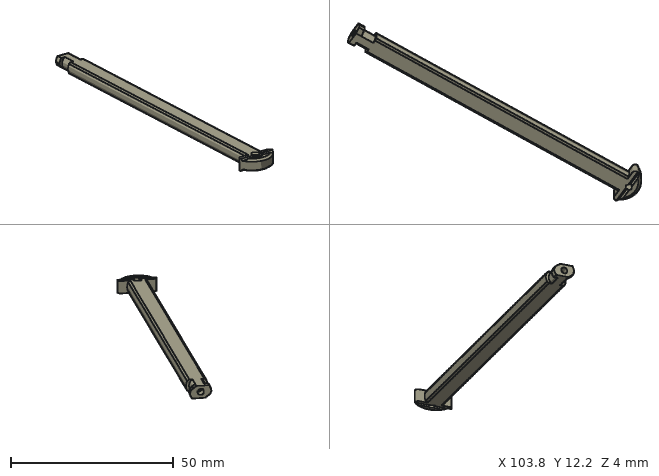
import cadquery as cq
import math

LENGTH = 103.8
THICKNESS = 4.0
HEAD_WIDTH = 12.2
HALF_THICKNESS = THICKNESS / 2

SHAFT_DIAMETER = 6.7
SHAFT_FLAT_WIDTH = 4.7
SHAFT_SIDE_HEIGHT = 3.1

CAP_LENGTH = 2.0
NECK_END = 6.3
NECK_DIAMETER = 4.9
CAP_CORNER_Y = 3.0
CAP_CORNER_Z = 0.8
CAP_CUT_START_Z = 0.2
END_HOLE_DIAMETER = 2.0
END_HOLE_DEPTH = 3.1
DRILL_POINT_ANGLE = 118

HEAD_LENGTH = 5.3
HEAD_CORNER_RADIUS = 1.0
HEAD_BEVEL_WIDTH = 0.9
HEAD_BEVEL_HEIGHT = 0.6
GROOVE_FROM_TIP = 3.3
GROOVE_WIDTH = 1.2
GROOVE_DEPTH = 0.6

CORD_HOLE_DIAMETER = 2.0
CORD_RIM_DIAMETER = 2.5
RECESS_DIAMETER = 2.7
RECESS_FLOOR_DIAMETER = 1.5
RECESS_DEPTH = 0.6
RECESS_OFFSET = 1.2

HEAD_BACK = LENGTH - HEAD_LENGTH
GROOVE_X = LENGTH - GROOVE_FROM_TIP


def circle_half_width(radius, height):
    """Half the chord of a circle at a height above its centre."""
    return math.sqrt(radius**2 - height**2)


def flatted_rod(diameter, start, end):
    """Rod along X with flats at the full thickness of the part."""
    radius = diameter / 2
    flat = circle_half_width(radius, HALF_THICKNESS)
    return (
        cq.Workplane("YZ", origin=(start, 0, 0))
        .moveTo(-flat, HALF_THICKNESS)
        .lineTo(flat, HALF_THICKNESS)
        .threePointArc((radius, 0), (flat, -HALF_THICKNESS))
        .lineTo(-flat, -HALF_THICKNESS)
        .threePointArc((-radius, 0), (-flat, HALF_THICKNESS))
        .close()
        .extrude(end - start)
    )


def make_shaft():
    """Main shaft, running a little way into the head."""
    radius = SHAFT_DIAMETER / 2
    flat = SHAFT_FLAT_WIDTH / 2
    side_z = SHAFT_SIDE_HEIGHT / 2
    side_y = circle_half_width(radius, side_z)
    return (
        cq.Workplane("YZ", origin=(NECK_END, 0, 0))
        .moveTo(-flat, HALF_THICKNESS)
        .lineTo(flat, HALF_THICKNESS)
        .lineTo(side_y, side_z)
        .threePointArc((radius, 0), (side_y, -side_z))
        .lineTo(flat, -HALF_THICKNESS)
        .lineTo(-flat, -HALF_THICKNESS)
        .lineTo(-side_y, -side_z)
        .threePointArc((-radius, 0), (-side_y, side_z))
        .close()
        .extrude(HEAD_BACK + HEAD_CORNER_RADIUS - NECK_END)
    )


def make_cap():
    """End cap whose +Y+Z and -Y-Z corners are cut back to the neck."""
    radius = SHAFT_DIAMETER / 2
    wide_flat = circle_half_width(radius, HALF_THICKNESS)
    cut_flat = circle_half_width(NECK_DIAMETER / 2, HALF_THICKNESS)
    cut_start_y = circle_half_width(radius, CAP_CUT_START_Z)
    mid_z = (HALF_THICKNESS - CAP_CUT_START_Z) / 2
    mid_y = circle_half_width(radius, mid_z)
    return (
        cq.Workplane("YZ")
        .moveTo(-wide_flat, HALF_THICKNESS)
        .lineTo(cut_flat, HALF_THICKNESS)
        .lineTo(CAP_CORNER_Y, CAP_CORNER_Z)
        .lineTo(cut_start_y, -CAP_CUT_START_Z)
        .threePointArc((mid_y, -mid_z), (wide_flat, -HALF_THICKNESS))
        .lineTo(-cut_flat, -HALF_THICKNESS)
        .lineTo(-CAP_CORNER_Y, -CAP_CORNER_Z)
        .lineTo(-cut_start_y, CAP_CUT_START_Z)
        .threePointArc((-mid_y, mid_z), (-wide_flat, HALF_THICKNESS))
        .close()
        .extrude(CAP_LENGTH)
    )


def make_head():
    """D-shaped plate with rounded corners, a bevelled arc and V grooves."""
    corner = HEAD_CORNER_RADIUS
    corner_y = HEAD_WIDTH / 2 - corner
    corner_run = HEAD_LENGTH - corner
    radius = (corner_run**2 + corner_y**2 - corner**2) / (2 * (corner_run - corner))
    arc_x = LENGTH - radius

    disc = (
        cq.Workplane("XY", origin=(arc_x, 0, -HALF_THICKNESS))
        .circle(radius)
        .extrude(THICKNESS)
    )
    bevelled_disc = disc.faces("|Z").edges().chamfer(HEAD_BEVEL_HEIGHT, HEAD_BEVEL_WIDTH)

    back_y = circle_half_width(radius, HEAD_BACK - arc_x)
    plate = (
        cq.Workplane("XY", origin=(0, 0, -HALF_THICKNESS))
        .moveTo(HEAD_BACK, -back_y)
        .threePointArc((LENGTH, 0), (HEAD_BACK, back_y))
        .close()
        .extrude(THICKNESS)
        .edges("|Z")
        .fillet(corner)
    )

    front = cq.Workplane("XY").box(
        HEAD_LENGTH, 2 * radius, THICKNESS, centered=(False, True, True)
    ).translate((GROOVE_X, 0, 0))
    head = plate.cut(front.cut(bevelled_disc))

    for side in (1, -1):
        surface = side * HALF_THICKNESS
        groove = (
            cq.Workplane("XZ")
            .moveTo(GROOVE_X - GROOVE_WIDTH / 2, surface)
            .lineTo(GROOVE_X + GROOVE_WIDTH / 2, surface)
            .lineTo(GROOVE_X, surface - side * GROOVE_DEPTH)
            .close()
            .extrude(HEAD_WIDTH / 2, both=True)
        )
        head = head.cut(groove)
    return head


def end_hole():
    """Blind drilled hole on the axis of the bayonet end."""
    radius = END_HOLE_DIAMETER / 2
    point = radius / math.tan(math.radians(DRILL_POINT_ANGLE / 2))
    return (
        cq.Workplane("XY")
        .lineTo(0, radius)
        .lineTo(END_HOLE_DEPTH, radius)
        .lineTo(END_HOLE_DEPTH + point, 0)
        .close()
        .revolve(360, (0, 0, 0), (1, 0, 0))
    )


def cord_hole():
    """Through hole with a bevelled upper rim and the recess behind it."""
    hole_radius = CORD_HOLE_DIAMETER / 2
    rim = (CORD_RIM_DIAMETER - CORD_HOLE_DIAMETER) / 2
    hole = (
        cq.Workplane("XY", origin=(GROOVE_X, 0, -HALF_THICKNESS))
        .circle(hole_radius)
        .extrude(THICKNESS)
    )
    rim_cone = cq.Workplane(
        cq.Solid.makeCone(
            hole_radius, hole_radius + rim, rim, cq.Vector(GROOVE_X, 0, HALF_THICKNESS - rim)
        )
    )
    recess = cq.Workplane(
        cq.Solid.makeCone(
            RECESS_FLOOR_DIAMETER / 2,
            RECESS_DIAMETER / 2,
            RECESS_DEPTH,
            cq.Vector(GROOVE_X - RECESS_OFFSET, 0, HALF_THICKNESS - RECESS_DEPTH),
        )
    )
    return hole.union(rim_cone).union(recess)


neck = flatted_rod(NECK_DIAMETER, 0, NECK_END + CAP_LENGTH)
result = make_shaft().union(make_head()).union(neck).union(make_cap())
result = result.cut(end_hole()).cut(cord_hole())